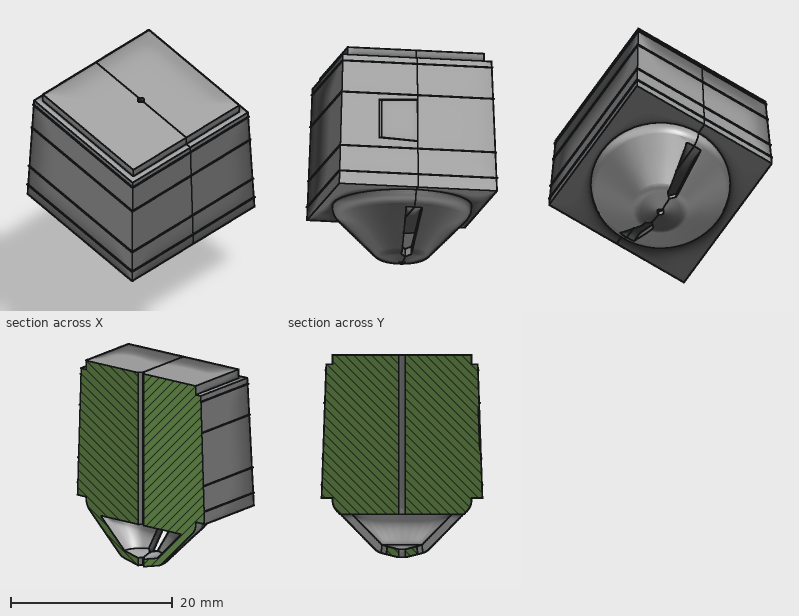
import cadquery as cq
import math

TOTAL_HEIGHT = 25.02
SHOULDER_Z = 23.87
BLOCK_BOTTOM_Z = 7.3
CAP_WIDTH = 17.21

BASE_WIDTH = 19.92
DRAFT_ANGLE = 2.0
RIDGE_LEVELS = (8.95, 12.23, 19.1, 23.1)
RIDGE_HEIGHT = 0.1
RIDGE_ROOT = 0.03
RIDGE_PROJECTION = 0.095

NOSE_RADIUS = CAP_WIDTH / 2
RIM_BOTTOM_Z = 7.1
CORNER_RADIUS = 2.0
CONE_ANGLE = 45.6
TIP_ANGLE = 14.0
TIP_FLAT_RADIUS = 0.53
WALL = 1.0
WINDOW_TOP_Z = 5.3

WINDOW_TOP_WIDTH = 2.05
WINDOW_POINT_X = 1.35
WINDOW_TAPER = 5.0

BORE_DIAMETER = 0.8

RECESS_LENGTH = 4.85
RECESS_JOINT_BOTTOM_Z = 13.15
RECESS_JOINT_TOP_Z = 18.6
RECESS_END_BOTTOM_Z = 13.4
RECESS_END_TOP_Z = 18.31
RECESS_DEPTH = 0.13
RECESS_END_INSET = 0.33
RECESS_SIDE_INSET = 0.1


def block_width(z):
    """Width of the tapered block at height z."""
    return BASE_WIDTH - 2 * (z - BLOCK_BOTTOM_Z) * math.tan(math.radians(DRAFT_ANGLE))


def make_block():
    cap = cq.Workplane("XY", origin=(0, 0, SHOULDER_Z)).rect(CAP_WIDTH, CAP_WIDTH)
    taper = (
        cq.Workplane("XY", origin=(0, 0, BLOCK_BOTTOM_Z))
        .rect(BASE_WIDTH, BASE_WIDTH)
        .extrude(SHOULDER_Z - BLOCK_BOTTOM_Z, taper=DRAFT_ANGLE)
    )
    block = taper.union(cap.extrude(TOTAL_HEIGHT - SHOULDER_Z))
    for level in RIDGE_LEVELS:
        block = block.union(make_ridge(level))
    return block


def make_ridge(level):
    """Square ring slab whose sides rise to a sharp edge at the given level."""
    edge_width = block_width(level) + 2 * RIDGE_PROJECTION
    root_width = block_width(level) - 2 * RIDGE_ROOT
    slab = cq.Workplane("XY", origin=(0, 0, level))
    half_slabs = [
        slab.rect(edge_width, edge_width)
        .workplane(offset=direction * (RIDGE_HEIGHT / 2))
        .rect(root_width, root_width)
        .loft(ruled=True)
        for direction in (-1, 1)
    ]
    return half_slabs[0].union(half_slabs[1])


def make_nose():
    """Solid of revolution: rounded shoulder, cone and blunt tip."""
    cone = math.radians(CONE_ANGLE)
    tip = math.radians(TIP_ANGLE)
    shoulder_end = (
        NOSE_RADIUS - CORNER_RADIUS * (1 - math.sin(cone)),
        RIM_BOTTOM_Z - CORNER_RADIUS * math.cos(cone),
    )
    edge_radius, edge_z = tip_corner(0)
    tangent_length = CORNER_RADIUS * math.tan((cone - tip) / 2)
    return (
        cq.Workplane("XZ")
        .moveTo(0, BLOCK_BOTTOM_Z)
        .lineTo(NOSE_RADIUS, BLOCK_BOTTOM_Z)
        .lineTo(NOSE_RADIUS, RIM_BOTTOM_Z)
        .tangentArcPoint(shoulder_end, relative=False)
        .lineTo(edge_radius + tangent_length * math.cos(cone), edge_z + tangent_length * math.sin(cone))
        .tangentArcPoint(
            (edge_radius - tangent_length * math.cos(tip), edge_z - tangent_length * math.sin(tip)),
            relative=False,
        )
        .lineTo(TIP_FLAT_RADIUS, 0)
        .lineTo(0, 0)
        .close()
        .revolve(360, (0, 0, 0), (0, 1, 0))
    )


def cone_axis_z(inset):
    """Height where the line of the cone, moved inward by inset, meets the axis."""
    cone = math.radians(CONE_ANGLE)
    arc_centre_radius = NOSE_RADIUS - CORNER_RADIUS
    line_shift = (CORNER_RADIUS - inset) / math.cos(cone)
    return RIM_BOTTOM_Z - arc_centre_radius * math.tan(cone) - line_shift


def tip_axis_z(inset):
    """Height where the line of the tip, moved inward by inset, meets the axis."""
    tip = math.radians(TIP_ANGLE)
    return inset / math.cos(tip) - TIP_FLAT_RADIUS * math.tan(tip)


def tip_corner(inset):
    """Radius and height where the cone and tip lines meet, both moved inward by inset."""
    cone_slope = math.tan(math.radians(CONE_ANGLE))
    tip_slope = math.tan(math.radians(TIP_ANGLE))
    radius = (tip_axis_z(inset) - cone_axis_z(inset)) / (cone_slope - tip_slope)
    return radius, tip_axis_z(inset) + tip_slope * radius


def make_cavity():
    """Hollow of the nose, one wall thickness inside the cone and the tip."""
    ceiling_radius = (WINDOW_TOP_Z - cone_axis_z(WALL)) / math.tan(math.radians(CONE_ANGLE))
    return (
        cq.Workplane("XZ")
        .moveTo(0, tip_axis_z(WALL))
        .lineTo(*tip_corner(WALL))
        .lineTo(ceiling_radius, WINDOW_TOP_Z)
        .lineTo(0, WINDOW_TOP_Z)
        .close()
        .revolve(360, (0, 0, 0), (0, 1, 0))
    )


def make_window(side):
    """Cutter for the window on the side X = side (-1 or +1), with walls that lean in going down."""
    half_width = WINDOW_TOP_WIDTH / 2
    corner_x = side * (WINDOW_POINT_X + half_width)
    outer_x = side * 2 * NOSE_RADIUS
    return (
        cq.Workplane("XY", origin=(0, 0, WINDOW_TOP_Z))
        .polyline([
            (outer_x, half_width),
            (corner_x, half_width),
            (side * WINDOW_POINT_X, 0),
            (corner_x, -half_width),
            (outer_x, -half_width),
        ])
        .close()
        .extrude(-WINDOW_TOP_Z, taper=WINDOW_TAPER)
    )


def make_shape():
    """Both halves together, before the joint is cut."""
    shape = make_block().union(make_nose()).cut(make_cavity())
    for side in (-1, 1):
        shape = shape.cut(make_window(side))
    bore = cq.Workplane("XY").circle(BORE_DIAMETER / 2).extrude(TOTAL_HEIGHT)
    return shape.cut(bore)


def make_half(shape, side):
    """The part of the shape on the side Y = side (-1 or +1)."""
    keep_size = 2 * BASE_WIDTH
    keep = (
        cq.Workplane("XY")
        .box(keep_size, keep_size, TOTAL_HEIGHT, centered=(True, True, False))
        .translate((0, side * keep_size / 2, 0))
    )
    return shape.intersect(keep)


def make_recess():
    """Cutter with a floor parallel to the block side, narrowing away from the joint."""
    middle_z = (RECESS_JOINT_BOTTOM_Z + RECESS_JOINT_TOP_Z) / 2
    face_x = -block_width(middle_z) / 2

    def outline(plane, inset, end_inset):
        return plane.polyline([
            (0, RECESS_JOINT_BOTTOM_Z - middle_z + inset),
            (RECESS_LENGTH - end_inset, RECESS_END_BOTTOM_Z - middle_z + inset),
            (RECESS_LENGTH - end_inset, RECESS_END_TOP_Z - middle_z - inset),
            (0, RECESS_JOINT_TOP_Z - middle_z - inset),
        ]).close()

    mouth = outline(cq.Workplane("YZ", origin=(face_x, 0, middle_z)), 0, 0)
    cutter = outline(
        mouth.workplane(offset=RECESS_DEPTH), RECESS_SIDE_INSET, RECESS_END_INSET
    ).loft(ruled=True)
    return cutter.rotate((face_x, 0, middle_z), (face_x, 1, middle_z), DRAFT_ANGLE)


shape = make_shape()
front_half = make_half(shape, -1)
rear_half = make_half(shape, 1).cut(make_recess())

result = cq.Compound.makeCompound([front_half.val(), rear_half.val()])